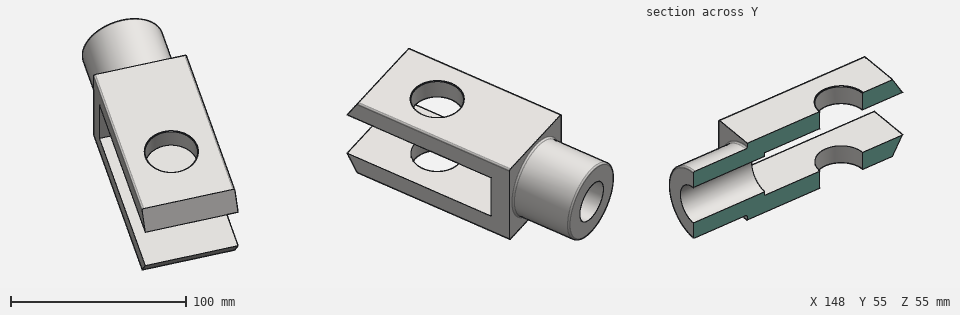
import cadquery as cq
import math

total_length = 148.0
body_width = 55.0
shank_length = 38.0
shank_diameter = 48.0
bore_diameter = 25.0
shank_edge_fillet = 1.0
neck_fillet = 1.0

fork_gap = 30.0
slot_start = 50.5
tip_angle = 30.0
body_edge_fillet = 1.0

pin_diameter = 30.0
pin_position = 104.5
pin_chamfer = 0.5

half_width = body_width / 2
half_gap = fork_gap / 2
arm_thickness = half_width - half_gap
tip_setback = arm_thickness * math.tan(math.radians(tip_angle))


def make_body():
    """Square block with its long edges rounded."""
    body_length = total_length - shank_length
    block = cq.Workplane("YZ", origin=(shank_length, 0, 0)).rect(body_width, body_width).extrude(body_length)
    return block.edges("|X").fillet(body_edge_fillet)


def make_shank():
    """Round shank with a rounded free end and a filleted neck at the block."""
    radius = shank_diameter / 2
    return (
        cq.Workplane("XY")
        .lineTo(0, radius - shank_edge_fillet)
        .radiusArc((shank_edge_fillet, radius), shank_edge_fillet)
        .lineTo(shank_length - neck_fillet, radius)
        .radiusArc((shank_length, radius + neck_fillet), -neck_fillet)
        .lineTo(shank_length, 0)
        .close()
        .revolve(360, (0, 0, 0), (1, 0, 0))
    )


def make_slot():
    """Gap between the two fork arms, open at the +X end."""
    length = total_length - slot_start
    return cq.Workplane("XY").box(length, body_width, fork_gap).translate((slot_start + length / 2, 0, 0))


def make_tip_bevel(side):
    """Wedge sloping one arm tip; side is +1 for the upper arm, -1 for the lower."""
    return (
        cq.Workplane("XZ")
        .moveTo(total_length, side * half_gap)
        .lineTo(total_length, side * half_width)
        .lineTo(total_length - tip_setback, side * half_width)
        .close()
        .extrude(half_width, both=True)
    )


def make_pin_hole():
    """Cross hole through both arms, chamfered at the outer faces."""
    radius = pin_diameter / 2
    rim_radius = radius + pin_chamfer
    chamfer_start = half_width - pin_chamfer
    return (
        cq.Workplane("XZ", origin=(pin_position, 0, 0))
        .moveTo(0, -half_width)
        .lineTo(rim_radius, -half_width)
        .lineTo(radius, -chamfer_start)
        .lineTo(radius, chamfer_start)
        .lineTo(rim_radius, half_width)
        .lineTo(0, half_width)
        .close()
        .revolve(360, (0, 0, 0), (0, 1, 0))
    )


def make_bore():
    """Axial bore from the shank end into the slot."""
    return cq.Workplane("YZ").circle(bore_diameter / 2).extrude(slot_start)


result = make_body().union(make_shank()).cut(make_slot()).cut(make_pin_hole()).cut(make_bore())
for arm_side in (1, -1):
    result = result.cut(make_tip_bevel(arm_side))